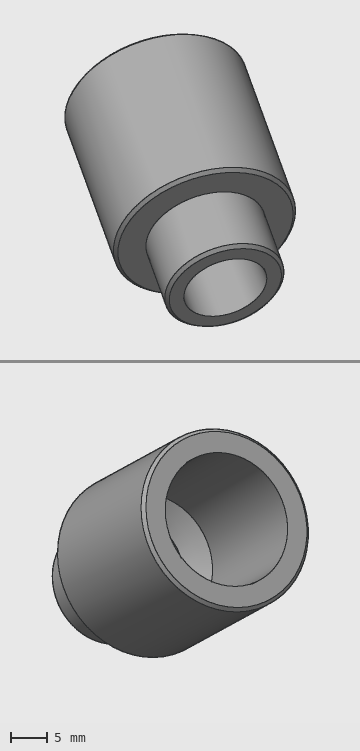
import cadquery as cq
import math

total_length = 35.5
body_length = 25.5
body_diameter = 26.0
neck_diameter = 17.0
edge_chamfer = 0.5

mouth_diameter = 19.0
outlet_diameter = 11.82
taper_half_angle = 60

body_radius = body_diameter / 2
neck_radius = neck_diameter / 2
mouth_radius = mouth_diameter / 2
outlet_radius = outlet_diameter / 2
taper_length = (mouth_radius - outlet_radius) / math.tan(math.radians(taper_half_angle))

wall_thickness = body_radius - mouth_radius
socket_depth = body_length - wall_thickness

outer_profile = (
    cq.Workplane("XY")
    .moveTo(0, 0)
    .lineTo(0, body_radius - edge_chamfer)
    .lineTo(edge_chamfer, body_radius)
    .lineTo(body_length - edge_chamfer, body_radius)
    .lineTo(body_length, body_radius - edge_chamfer)
    .lineTo(body_length, neck_radius)
    .lineTo(total_length - edge_chamfer, neck_radius)
    .lineTo(total_length, neck_radius - edge_chamfer)
    .lineTo(total_length, 0)
    .close()
)
outer = outer_profile.revolve(360, (0, 0, 0), (1, 0, 0))

passage_profile = (
    cq.Workplane("XY")
    .moveTo(0, 0)
    .lineTo(0, mouth_radius)
    .lineTo(socket_depth, mouth_radius)
    .lineTo(socket_depth + taper_length, outlet_radius)
    .lineTo(total_length, outlet_radius)
    .lineTo(total_length, 0)
    .close()
)
passage = passage_profile.revolve(360, (0, 0, 0), (1, 0, 0))

result = outer.cut(passage)